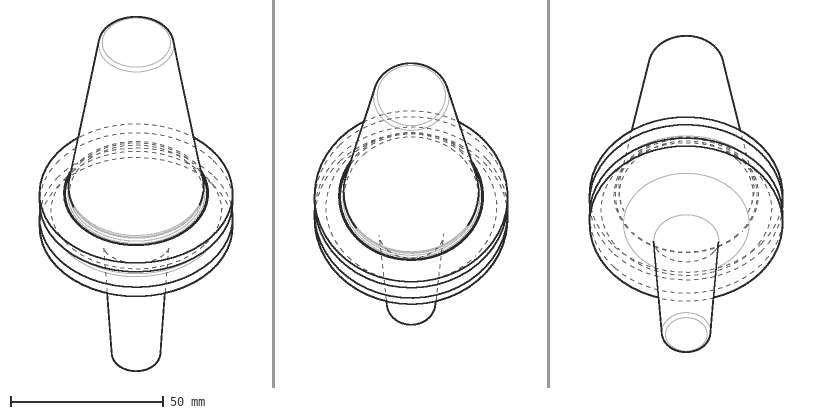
import cadquery as cq
import math

GAUGE_RADIUS = 44.45 / 2
TAPER_LENGTH = 68.4
TAPER_SLOPE = 7 / 48
TOP_FILLET = 1.2

LAND_HEIGHT = 0.75
NECK_RADIUS = 22.0
NECK_TOP_Z = -1.5
RECESS_START_Z = -2.9
RECESS_ARC_RADIUS = 0.55
RECESS_OUTER_RADIUS = 23.75
RECESS_WALL_ANGLE = math.radians(30)

FLANGE_RADIUS = 63.55 / 2
FLANGE_TOP_Z = -3.2
FLANGE_BOTTOM_Z = -19.1
GROOVE_FLOOR_RADIUS = 56.25 / 2
GROOVE_TOP_Z = -7.4
GROOVE_BOTTOM_Z = -14.7
GROOVE_WALL_ANGLE = math.radians(30)
GROOVE_FILLET = 1.0

NOSE_TIP_Z = -80.0
NOSE_TIP_RADIUS = 8.0
NOSE_ANGLE = math.radians(3)
NOSE_ROOT_FILLET = 10.0
NOSE_TIP_FILLET = 1.2


TOP_RADIUS = GAUGE_RADIUS - TAPER_SLOPE * TAPER_LENGTH
GROOVE_WALL_DROP = (FLANGE_RADIUS - GROOVE_FLOOR_RADIUS) * math.tan(GROOVE_WALL_ANGLE)
GROOVE_FLOOR_TOP_Z = GROOVE_TOP_Z - GROOVE_WALL_DROP
GROOVE_FLOOR_BOTTOM_Z = GROOVE_BOTTOM_Z + GROOVE_WALL_DROP
NOSE_ROOT_RADIUS = NOSE_TIP_RADIUS + (FLANGE_BOTTOM_Z - NOSE_TIP_Z) * math.tan(NOSE_ANGLE)

SELECTION_MARGIN = 0.01


def add_shank(profile):
    """Draw the taper, the relief neck and the recess, from the top centre to the recess rim."""
    recess_floor_z = RECESS_START_Z - RECESS_ARC_RADIUS
    recess_wall_width = (FLANGE_TOP_Z - recess_floor_z) / math.tan(RECESS_WALL_ANGLE)
    return (
        profile.moveTo(0, TAPER_LENGTH)
        .lineTo(TOP_RADIUS, TAPER_LENGTH)
        .lineTo(GAUGE_RADIUS, 0)
        .lineTo(GAUGE_RADIUS, -LAND_HEIGHT)
        .lineTo(NECK_RADIUS, NECK_TOP_Z)
        .lineTo(NECK_RADIUS, RECESS_START_Z)
        .radiusArc((NECK_RADIUS + RECESS_ARC_RADIUS, recess_floor_z), -RECESS_ARC_RADIUS)
        .lineTo(RECESS_OUTER_RADIUS - recess_wall_width, recess_floor_z)
        .lineTo(RECESS_OUTER_RADIUS, FLANGE_TOP_Z)
    )


def add_flange(profile):
    """Draw the flange and its gripper groove, from the top face to the bottom rim."""
    return (
        profile.lineTo(FLANGE_RADIUS, FLANGE_TOP_Z)
        .lineTo(FLANGE_RADIUS, GROOVE_TOP_Z)
        .lineTo(GROOVE_FLOOR_RADIUS, GROOVE_FLOOR_TOP_Z)
        .lineTo(GROOVE_FLOOR_RADIUS, GROOVE_FLOOR_BOTTOM_Z)
        .lineTo(FLANGE_RADIUS, GROOVE_BOTTOM_Z)
        .lineTo(FLANGE_RADIUS, FLANGE_BOTTOM_Z)
    )


def add_nose(profile):
    """Draw the tapered nose, from the flange underside to the tip centre."""
    return (
        profile.lineTo(NOSE_ROOT_RADIUS, FLANGE_BOTTOM_Z)
        .lineTo(NOSE_TIP_RADIUS, NOSE_TIP_Z)
        .lineTo(0, NOSE_TIP_Z)
    )


def round_edge(body, radius, z, fillet_radius):
    """Fillet the circular edge of the given radius at height z."""
    reach = radius + SELECTION_MARGIN
    low_corner = (-reach, -reach, z - SELECTION_MARGIN)
    high_corner = (reach, reach, z + SELECTION_MARGIN)
    edge_box = cq.selectors.BoxSelector(low_corner, high_corner, boundingbox=True)
    return body.edges(edge_box).fillet(fillet_radius)


def make_holder():
    profile = add_nose(add_flange(add_shank(cq.Workplane("XZ"))))
    body = profile.close().revolve(360, (0, 0, 0), (0, 1, 0))
    body = round_edge(body, TOP_RADIUS, TAPER_LENGTH, TOP_FILLET)
    body = round_edge(body, GROOVE_FLOOR_RADIUS, GROOVE_FLOOR_TOP_Z, GROOVE_FILLET)
    body = round_edge(body, GROOVE_FLOOR_RADIUS, GROOVE_FLOOR_BOTTOM_Z, GROOVE_FILLET)
    body = round_edge(body, NOSE_ROOT_RADIUS, FLANGE_BOTTOM_Z, NOSE_ROOT_FILLET)
    return round_edge(body, NOSE_TIP_RADIUS, NOSE_TIP_Z, NOSE_TIP_FILLET)


result = make_holder()